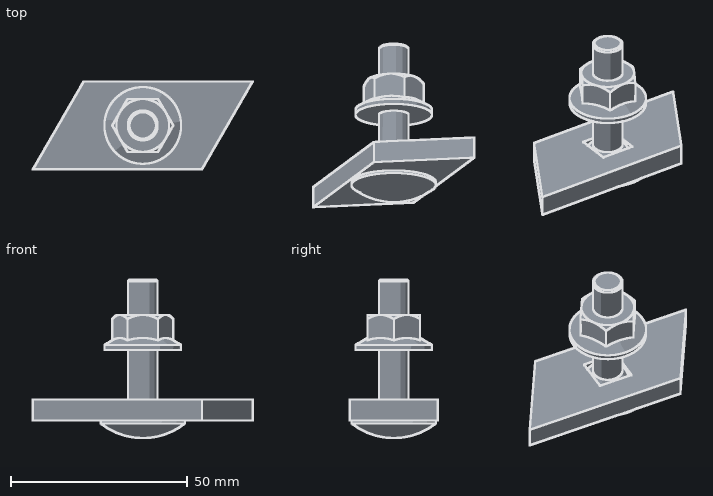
import cadquery as cq
import math

shank_diameter = 8.5
shank_end_chamfer = 0.5
neck_side = 10.0
neck_cone_angle = 45.0
head_diameter = 24.0
head_height = 5.0
head_rim_height = 0.8

plate_length = 48.0
plate_width = 25.0
plate_thickness = 6.0
plate_corner_angle = 60.0

nut_height = 10.0
nut_across_flats = 15.0
nut_chamfer_angle = 45.0
flange_diameter = 21.8
flange_rim_height = 1.5
flange_cone_angle = 30.0

nut_clearance = 14.0
thread_projection = 10.0
nut_bottom = plate_thickness + nut_clearance
shank_top = nut_bottom + nut_height + thread_projection

shank_radius = shank_diameter / 2


def slope(angle):
    return math.tan(math.radians(angle))


def revolve_about_z(profile):
    """Close a half profile drawn in the XZ plane and spin it about the Z axis."""
    return profile.close().revolve(360, (0, 0, 0), (0, 1, 0))


def make_plate():
    slant = plate_width / slope(plate_corner_angle)
    half_width = plate_width / 2
    long_reach = (plate_length + slant) / 2
    short_reach = (plate_length - slant) / 2
    outline = [
        (-long_reach, -half_width),
        (short_reach, -half_width),
        (long_reach, half_width),
        (-short_reach, half_width),
    ]
    blank = cq.Workplane("XY").polyline(outline).close().extrude(plate_thickness)
    square_hole = cq.Workplane("XY").rect(neck_side, neck_side).extrude(plate_thickness)
    return blank.cut(square_hole)


def make_bolt_head():
    """Flat-topped button with a short cylindrical rim and a spherical underside."""
    head_radius = head_diameter / 2
    dome_height = head_height - head_rim_height
    sphere_radius = (head_radius**2 + dome_height**2) / (2 * dome_height)
    sphere_center_z = sphere_radius - head_height
    middle_angle = math.asin(head_radius / sphere_radius) / 2
    arc_middle = (
        sphere_radius * math.sin(middle_angle),
        sphere_center_z - sphere_radius * math.cos(middle_angle),
    )
    return revolve_about_z(
        cq.Workplane("XZ")
        .lineTo(head_radius, 0)
        .lineTo(head_radius, -head_rim_height)
        .threePointArc(arc_middle, (0, -head_height))
    )


def make_bolt_neck():
    """Square neck whose top is a cone rising to the shank at the plate's upper face."""
    square = cq.Workplane("XY").rect(neck_side, neck_side).extrude(plate_thickness)
    cone_base_radius = neck_side
    cone_drop = (cone_base_radius - shank_radius) * slope(neck_cone_angle)
    cone = revolve_about_z(
        cq.Workplane("XZ")
        .lineTo(cone_base_radius, 0)
        .lineTo(cone_base_radius, plate_thickness - cone_drop)
        .lineTo(shank_radius, plate_thickness)
        .lineTo(0, plate_thickness)
    )
    return square.intersect(cone)


def make_bolt():
    shank = cq.Workplane("XY").circle(shank_radius).extrude(shank_top)
    shank = shank.faces(">Z").chamfer(shank_end_chamfer)
    return make_bolt_head().union(make_bolt_neck()).union(shank)


def make_nut():
    across_corners = nut_across_flats / math.cos(math.radians(30))
    flat_radius = nut_across_flats / 2
    corner_radius = across_corners / 2
    flange_radius = flange_diameter / 2

    hexagon = cq.Workplane("XY").polygon(6, across_corners).extrude(nut_height)
    chamfer_drop = (corner_radius - flat_radius) * slope(nut_chamfer_angle)
    chamfer_envelope = revolve_about_z(
        cq.Workplane("XZ")
        .lineTo(corner_radius, 0)
        .lineTo(corner_radius, nut_height - chamfer_drop)
        .lineTo(flat_radius, nut_height)
        .lineTo(0, nut_height)
    )
    hexagon = hexagon.intersect(chamfer_envelope)

    cone_height = (flange_radius - shank_radius) * slope(flange_cone_angle)
    cone_top = flange_rim_height + cone_height
    flange = revolve_about_z(
        cq.Workplane("XZ")
        .lineTo(flange_radius, 0)
        .lineTo(flange_radius, flange_rim_height)
        .lineTo(shank_radius, cone_top)
        .lineTo(0, cone_top)
    )

    bore = cq.Workplane("XY").circle(shank_radius).extrude(nut_height)
    return hexagon.union(flange).cut(bore).translate((0, 0, nut_bottom))


plate = make_plate()
bolt = make_bolt()
nut = make_nut()

result = cq.Compound.makeCompound([plate.val(), bolt.val(), nut.val()])